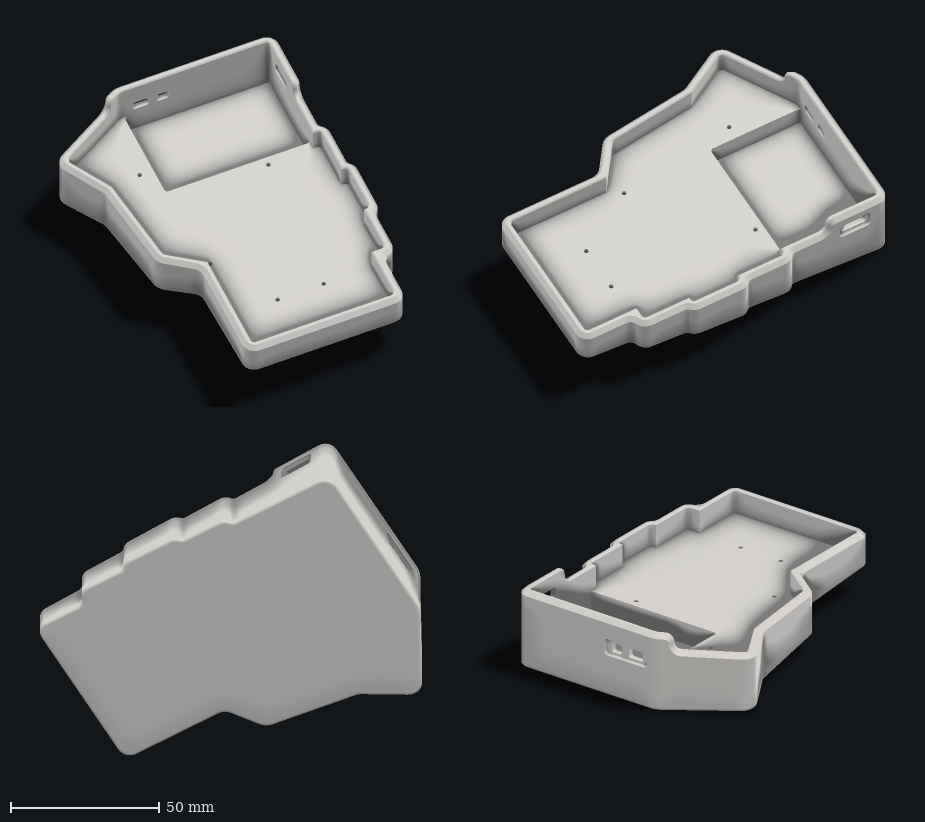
import cadquery as cq
import math

tiny = 0.001

length = 117.8
high_top = 28.4
low_top = 22.5
wall = 3.1
floor_height = 13.5
base_angle = 5.0
base_radius = 1.0
rim_chamfer = 1.5
inner_chamfer = 0.5

back_left = 86.5
back_mid = 89.0
back_peak = 91.2
back_right = 84.1
step_left = 37.6
step_peak_start = 55.7
step_peak_end = 80.6
step_right = 98.2
front_right = 25.6
corner_radius = 4.5
step_radius = 2.5
last_step_radius = 3.0

thumb_inner = (78.6, front_right, 5.0)
thumb_outer = (69.6, 13.3, 6.0)
thumb_bend = (35.7, 9.0, 5.0)
thumb_tip = (17.1, -1.8, 5.0)
left_bend = (0.0, 27.8, 8.0)

drop_x = 23.7
drop_from_bend = 6.2
drop_radius = (high_top - low_top) / 2

pocket_right = 37.9
pocket_front = 30.3
pocket_floor = 5.5
pocket_radius = 1.0

hole_diameter = 1.6
hole_depth = 3.0
hole_places = [(41.0, 66.8), (95.1, 63.5), (95.1, 46.5), (72.1, 31.8), (27.7, 25.2)]

slot_left = 8.7
slot_right = 18.0
slot_bottom = 19.0
slot_top = 23.0
slot_margin = 1.4

opening_radius = 1.0
opening_depth = 1.5 * wall
recess_depth = 1.0
recess_chamfer = 0.5
recess_radius = 1.5

recess_y = (31.1, 49.1)
recess_z = (14.8, 21.0)
opening_z = (16.1, 19.7)
opening_spans = [(33.5, 39.5), (42.4, 46.5)]

back_steps = [
    (step_left, back_left, back_mid, step_radius),
    (step_peak_start, back_mid, back_peak, step_radius),
    (step_peak_end, back_peak, back_mid, step_radius),
    (step_right, back_mid, back_right, last_step_radius),
]
back_left_corner = (0, back_left, corner_radius)
right_and_front_corners = [
    (length, back_right, corner_radius),
    (length, front_right, corner_radius),
    thumb_inner,
    thumb_outer,
    thumb_bend,
    thumb_tip,
    left_bend,
]


def unit(start, end):
    """Unit vector pointing from start to end."""
    dx = end[0] - start[0]
    dy = end[1] - start[1]
    size = math.hypot(dx, dy)
    return dx / size, dy / size


def rounded_outline(corners):
    """Closed outline through (x, y, radius) corners; a zero radius leaves the corner sharp."""
    bends = []
    for i, (x, y, radius) in enumerate(corners):
        back = unit((x, y), corners[i - 1])
        ahead = unit((x, y), corners[(i + 1) % len(corners)])
        half_angle = math.acos(back[0] * ahead[0] + back[1] * ahead[1]) / 2
        reach = radius / math.tan(half_angle)
        sag = radius / math.sin(half_angle) - radius
        inward = unit((0, 0), (back[0] + ahead[0], back[1] + ahead[1]))
        start = (x + reach * back[0], y + reach * back[1])
        middle = (x + sag * inward[0], y + sag * inward[1])
        end = (x + reach * ahead[0], y + reach * ahead[1])
        bends.append((start, middle, end))

    here = bends[0][0]
    path = cq.Workplane("XY").moveTo(*here)
    for start, middle, end in bends:
        if math.dist(here, start) > tiny:
            path = path.lineTo(*start)
        if math.dist(start, end) > tiny:
            path = path.threePointArc(middle, end)
        here = end
    return path.close()


def swept_step(x, y_before, y_after, hollow_radius):
    """Two corners of a back-wall step whose round and hollow arcs meet tangentially.

    The full circle of the round arc would touch the upright line at x.
    """
    rising = y_after > y_before
    side = 1 if rising else -1
    radii = corner_radius + hollow_radius
    slope = math.acos(1 - abs(y_after - y_before) / radii)
    half_tangent = math.tan(slope / 2)
    round_x = x + side * corner_radius * (1 - half_tangent)
    hollow_x = round_x - side * radii * half_tangent * math.cos(slope)
    if rising:
        return [(hollow_x, y_before, hollow_radius), (round_x, y_after, corner_radius)]
    return [(round_x, y_before, corner_radius), (hollow_x, y_after, hollow_radius)]


def outer_outline():
    corners = [back_left_corner]
    for step in back_steps:
        corners += swept_step(*step)
    return rounded_outline(corners + right_and_front_corners)


def inner_outline():
    """Outline with upright steps, moved inward by the wall.

    Corners that point into the cavity stay sharp; the others keep a common centre.
    """
    corners = [back_left_corner]
    for x, y_before, y_after, _ in back_steps:
        corners += [(x, y_before, corner_radius), (x, y_after, corner_radius)]
    corners += right_and_front_corners

    moved = []
    for i, (x, y, radius) in enumerate(corners):
        before = unit(corners[i - 1], (x, y))
        after = unit((x, y), corners[(i + 1) % len(corners)])
        turn = before[0] * after[1] - before[1] * after[0]
        points_into_cavity = turn > 0
        moved.append((
            x + wall * (before[0] - after[0]) / turn,
            y + wall * (before[1] - after[1]) / turn,
            0 if points_into_cavity else radius - wall,
        ))
    return rounded_outline(moved)


def drop_cutter(plane, edge, toward):
    """Space above the low rim with an S-shaped side.

    The S stands upright at edge; toward is the sign of the direction that is cut away.
    """
    far = edge + toward * length
    foot = edge + toward * drop_radius
    crest = edge - toward * drop_radius
    above = high_top + drop_radius
    return (
        cq.Workplane(plane)
        .moveTo(far, low_top)
        .lineTo(foot, low_top)
        .tangentArcPoint((edge, low_top + drop_radius), relative=False)
        .tangentArcPoint((crest, high_top), relative=False)
        .lineTo(crest, above)
        .lineTo(far, above)
        .close()
        .extrude(length, both=True)
    )


def lower_rim(body):
    """Drop the rim to its low level along the back wall and, square to it, the slanted wall."""
    along = unit(left_bend, thumb_tip)
    turn = math.degrees(math.atan2(along[0], -along[1]))
    place = (
        left_bend[0] + drop_from_bend * along[0],
        left_bend[1] + drop_from_bend * along[1],
        0,
    )
    slanted = drop_cutter("YZ", 0, -1).rotate((0, 0, 0), (0, 0, 1), turn).translate(place)
    return body.cut(drop_cutter("XZ", drop_x, 1)).cut(slanted)


def shell_block():
    """Solid body with the sloped underside, the lowered rim and its outer edges finished."""
    slope = math.tan(math.radians(base_angle))
    rise = length * slope
    left_base = -base_radius * slope
    block = outer_outline().extrude(high_top - left_base).translate((0, 0, left_base))
    below = (
        cq.Workplane("XZ")
        .polyline([(0, left_base), (length, left_base + rise), (length, -rise), (0, -rise)])
        .close()
        .extrude(length, both=True)
    )
    block = block.cut(below)
    block = block.faces("<X").edges("<Z").fillet(base_radius)
    block = lower_rim(block)
    return block.faces(">X").edges(">Z").chamfer(rim_chamfer)


def hollow_out(body):
    """Cut the main cavity and break the inner edge of the rim."""
    cavity = inner_outline().extrude(high_top).translate((0, 0, floor_height))
    body = body.cut(cavity)

    def on_cavity_rim(edge):
        middle = edge.positionAt(0.5)
        point = cq.Vertex.makeVertex(*middle.toTuple())
        return middle.z > low_top - tiny and cavity.val().distance(point) < tiny

    rim_edges = [edge for edge in body.edges().vals() if on_cavity_rim(edge)]
    return body.newObject(rim_edges).chamfer(inner_chamfer)


def box_between(x_span, y_span, z_span):
    """Box filling the given X, Y and Z spans."""
    sizes = [span[1] - span[0] for span in (x_span, y_span, z_span)]
    corner = (x_span[0], y_span[0], z_span[0])
    return cq.Workplane("XY").box(*sizes, centered=False).translate(corner)


def pocket():
    """Deep pocket under the raised left end."""
    space = box_between(
        (wall, pocket_right), (pocket_front, back_left - wall), (pocket_floor, floor_height)
    )
    return space.edges("|Z").fillet(pocket_radius)


def screw_holes():
    """Blind holes in the main floor."""
    top = cq.Workplane("XY").workplane(offset=floor_height)
    return top.pushPoints(hole_places).circle(hole_diameter / 2).extrude(-hole_depth)


def back_slot():
    """Slot through the back wall, opening into a shallow recess on its outer side."""
    slot = box_between(
        (slot_left, slot_right), (back_left - opening_depth, back_left), (slot_bottom, slot_top)
    )
    recess = box_between(
        (slot_left - slot_margin, slot_right + slot_margin),
        (back_left - recess_depth, back_left),
        (slot_bottom - slot_margin, slot_top + slot_margin),
    )
    recess = recess.edges("|Y").fillet(recess_radius).faces("<Y").edges().chamfer(recess_chamfer)
    return slot.edges("|Y").fillet(opening_radius).union(recess)


def side_openings():
    """Recess in the left wall with its openings into the pocket."""
    recess = box_between((0, recess_depth), recess_y, recess_z).edges("|X").fillet(recess_radius)
    recess = recess.faces(">X").edges().chamfer(recess_chamfer)
    for y_span in opening_spans:
        opening = box_between((0, opening_depth), y_span, opening_z)
        recess = recess.union(opening.edges("|X").fillet(opening_radius))
    return recess


result = hollow_out(shell_block())
for space in (pocket(), screw_holes(), back_slot(), side_openings()):
    result = result.cut(space)